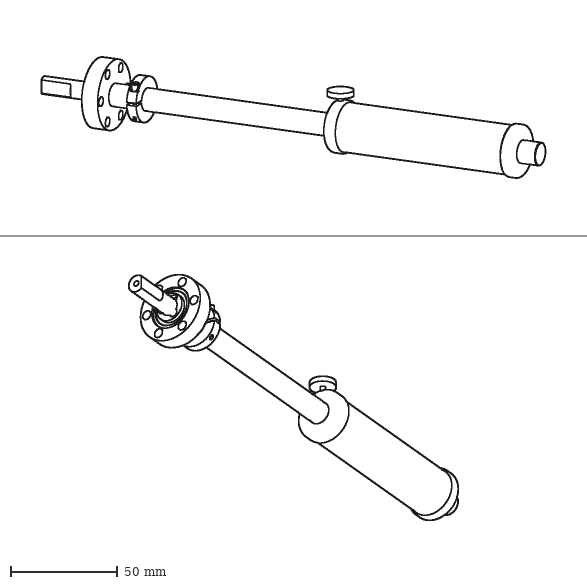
import cadquery as cq

OVERALL_LENGTH = 263.5
OVERALL_HEIGHT = 34.8

FLAT_END_X = 16.0
NUB_FACE_X = 28.0
FLANGE_FACE_X = 28.7
FLANGE_BACK_X = 37.2
COLLAR_START_X = 49.5
COLLAR_WIDTH = 5.0
FRONT_CAP_X = 154.2
FRONT_CAP_LENGTH = 6.5
REAR_CAP_LENGTH = 5.3
REAR_CAP_END_X = 253.8

SHAFT_RADIUS = 8.7 / 2
FLAT_DISTANCE = 3.0
FLAT_RUNOUT_RADIUS = 1.3
CENTER_HOLE_RADIUS = 1.3
CENTER_HOLE_DEPTH = 5.3

FLANGE_RADIUS = 34.0 / 2
BOLT_CIRCLE_RADIUS = 13.5
BOLT_HOLE_RADIUS = 2.25
BOLT_COUNT = 6
RECESS_RADIUS = 10.5
RECESS_DEPTH = 1.3
KNIFE_EDGE_RADIUS = 9.0
KNIFE_EDGE_DEPTH = 0.5
NUB_RADIUS = 7.0
LOBE_COUNT = 3
LOBE_RADIUS = 2.0
LOBE_OFFSET = 4.2
LOBE_DEPTH = 2.6

TUBE_RADIUS = 5.5
TUBE_END_CHAMFER = 0.3
COLLAR_RADIUS = 11.0
SLIT_WIDTH = 1.3
SCREW_Y = -7.6
SCREW_SEAT_Z = 5.8
SCREW_POCKET_RADIUS = 2.0
SCREW_HEAD_RADIUS = 1.3
SCREW_HEAD_HEIGHT = 3.2
SCREW_HOLE_RADIUS = 0.8
SCREW_TIP_Z = -6.9

HOUSING_RADIUS = 11.9
CAP_RADIUS = 25.5 / 2
FRONT_CAP_FILLET = 2.5
REAR_CAP_FILLET = 1.5
CAP_INNER_FILLET = 0.5

KNOB_X = 157.5
KNOB_RADIUS = 6.3
KNOB_TOP_Z = OVERALL_HEIGHT - FLANGE_RADIUS
KNOB_THICKNESS = 2.6
KNOB_STEM_RADIUS = 1.3


def cylinder_x(radius, start_x, end_x):
    """Cylinder on the X axis between two X positions."""
    return cq.Workplane("YZ").workplane(offset=start_x).circle(radius).extrude(end_x - start_x)


def cylinder_z(radius, center, bottom_z, top_z):
    """Vertical cylinder at an (x, y) centre."""
    return (
        cq.Workplane("XY").workplane(offset=bottom_z)
        .center(*center).circle(radius).extrude(top_z - bottom_z)
    )


def make_shaft():
    """Round shaft with one milled flat on the -Y side that runs out in a rounded corner."""
    cutter_size = 2 * SHAFT_RADIUS
    cutter = (
        cq.Workplane("XY")
        .box(FLAT_END_X, cutter_size, 2 * cutter_size, centered=(False, False, True))
        .faces(">X").edges(">Y").fillet(FLAT_RUNOUT_RADIUS)
        .translate((0, -FLAT_DISTANCE - cutter_size, 0))
    )
    shaft = cylinder_x(SHAFT_RADIUS, 0, FLANGE_BACK_X).cut(cutter)
    return shaft.cut(cylinder_x(CENTER_HOLE_RADIUS, 0, CENTER_HOLE_DEPTH))


def make_flange():
    """Flange with a knife-edge recess, a raised centre nub and a bolt circle."""
    recess_floor_x = FLANGE_FACE_X + RECESS_DEPTH
    flange = (
        cq.Workplane("XY")
        .moveTo(NUB_FACE_X, 0)
        .lineTo(NUB_FACE_X, NUB_RADIUS)
        .lineTo(recess_floor_x, NUB_RADIUS)
        .lineTo(recess_floor_x, KNIFE_EDGE_RADIUS)
        .lineTo(FLANGE_FACE_X + KNIFE_EDGE_DEPTH, KNIFE_EDGE_RADIUS)
        .lineTo(recess_floor_x, RECESS_RADIUS)
        .lineTo(FLANGE_FACE_X, RECESS_RADIUS)
        .lineTo(FLANGE_FACE_X, FLANGE_RADIUS)
        .lineTo(FLANGE_BACK_X, FLANGE_RADIUS)
        .lineTo(FLANGE_BACK_X, 0)
        .close()
        .revolve(360, (0, 0, 0), (1, 0, 0))
    )
    bolt_holes = (
        cq.Workplane("YZ").workplane(offset=NUB_FACE_X)
        .polarArray(BOLT_CIRCLE_RADIUS, 0, 360, BOLT_COUNT)
        .circle(BOLT_HOLE_RADIUS).extrude(FLANGE_BACK_X - NUB_FACE_X)
    )
    lobes = (
        cq.Workplane("YZ").workplane(offset=NUB_FACE_X)
        .polarArray(LOBE_OFFSET, 0, 360, LOBE_COUNT)
        .circle(LOBE_RADIUS).extrude(LOBE_DEPTH)
    )
    return flange.cut(bolt_holes).cut(lobes)


def make_collar():
    """Split clamp collar with its screw, slit on the -Y side."""
    center_x = COLLAR_START_X + COLLAR_WIDTH / 2
    screw_center = (center_x, SCREW_Y)
    slit = cq.Workplane("XY").box(COLLAR_WIDTH, COLLAR_RADIUS, SLIT_WIDTH)
    slit = slit.translate((center_x, -COLLAR_RADIUS / 2, 0))
    screw_head_top_z = SCREW_SEAT_Z + SCREW_HEAD_HEIGHT
    return (
        cylinder_x(COLLAR_RADIUS, COLLAR_START_X, COLLAR_START_X + COLLAR_WIDTH)
        .cut(slit)
        .cut(cylinder_z(SCREW_POCKET_RADIUS, screw_center, SCREW_SEAT_Z, COLLAR_RADIUS))
        .cut(cylinder_z(SCREW_HOLE_RADIUS, screw_center, -COLLAR_RADIUS, SCREW_TIP_Z))
        .union(cylinder_z(SCREW_HOLE_RADIUS, screw_center, SCREW_TIP_Z, SCREW_SEAT_Z))
        .union(cylinder_z(SCREW_HEAD_RADIUS, screw_center, SCREW_SEAT_Z, screw_head_top_z))
    )


def make_housing():
    """Large cylinder closed by two slightly wider caps with rounded outer rims."""
    front_cap_end_x = FRONT_CAP_X + FRONT_CAP_LENGTH
    rear_cap_start_x = REAR_CAP_END_X - REAR_CAP_LENGTH
    front_cap = (
        cylinder_x(CAP_RADIUS, FRONT_CAP_X, front_cap_end_x)
        .faces("<X").edges().fillet(FRONT_CAP_FILLET)
        .faces(">X").edges().fillet(CAP_INNER_FILLET)
    )
    rear_cap = (
        cylinder_x(CAP_RADIUS, rear_cap_start_x, REAR_CAP_END_X)
        .faces(">X").edges().fillet(REAR_CAP_FILLET)
        .faces("<X").edges().fillet(CAP_INNER_FILLET)
    )
    body = cylinder_x(
        HOUSING_RADIUS, front_cap_end_x - FRONT_CAP_LENGTH / 2, rear_cap_start_x + REAR_CAP_LENGTH / 2
    )
    return body.union(front_cap).union(rear_cap)


def make_knob():
    """Flat thumb knob on a thin stem, standing on the front cap."""
    center = (KNOB_X, 0)
    knob_bottom_z = KNOB_TOP_Z - KNOB_THICKNESS
    disc = cylinder_z(KNOB_RADIUS, center, knob_bottom_z, KNOB_TOP_Z)
    return disc.union(cylinder_z(KNOB_STEM_RADIUS, center, HOUSING_RADIUS / 2, knob_bottom_z))


tube = cylinder_x(TUBE_RADIUS, FLANGE_BACK_X, OVERALL_LENGTH)
tube = tube.faces(">X").edges().chamfer(TUBE_END_CHAMFER)

result = make_flange().union(make_shaft()).union(tube)
for part in (make_collar(), make_housing(), make_knob()):
    result = result.union(part)